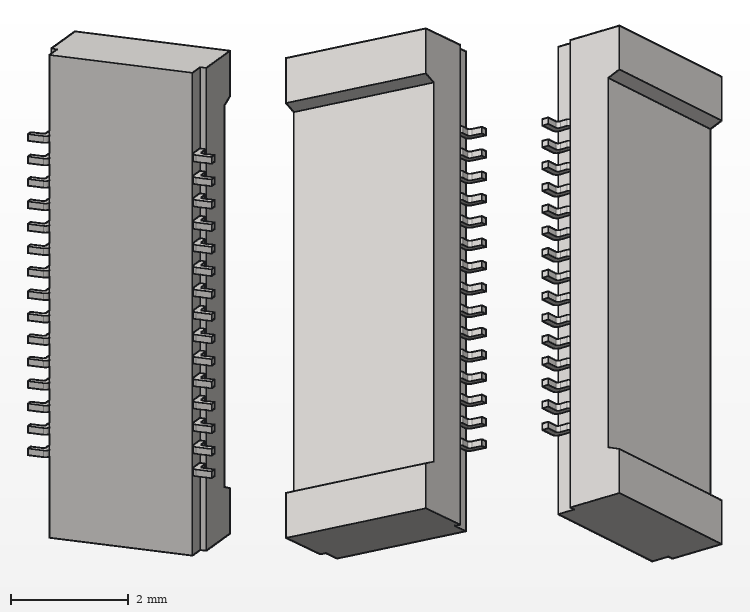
import cadquery as cq

housing_length = 8.6
housing_width = 2.855
overall_depth = 1.45
standoff = 0.05
notch_width = 0.11
notch_depth = 0.34

end_block_height = 0.24
end_block_length = 0.81
end_block_root = 0.9

terminals_per_row = 15
row_length = 5.6
terminal_pitch = row_length / (terminals_per_row - 1)
terminal_width = 0.12
row_span = 3.38
foot_thickness = 0.13
leg_thickness = notch_width
leg_gap = 0.02
bend_radius = 0.05
heel_radius = 0.09

half_width = housing_width / 2
half_length = housing_length / 2
half_span = row_span / 2
foot_bottom = -overall_depth / 2
back = overall_depth / 2
floor = foot_bottom + standoff
shoulder = floor + notch_depth
notch_wall = half_width - notch_width


def make_housing():
    """Block with a recess between two end blocks and a step along each lower edge."""
    recess_face = back - end_block_height
    recess_mouth = half_length - end_block_length
    recess_root = half_length - end_block_root
    side_outline = [
        (floor, -half_length),
        (back, -half_length),
        (back, -recess_mouth),
        (recess_face, -recess_root),
        (recess_face, recess_root),
        (back, recess_mouth),
        (back, half_length),
        (floor, half_length),
    ]
    housing = (
        cq.Workplane("YZ")
        .polyline(side_outline)
        .close()
        .extrude(half_width, both=True)
    )
    for side in (-1, 1):
        notch = (
            cq.Workplane("XY")
            .box(notch_width, notch_depth, housing_length)
            .translate((side * (half_width - notch_width / 2), floor + notch_depth / 2, 0))
        )
        housing = housing.cut(notch)
    return housing


def make_terminal():
    """L-shaped terminal on the +X side: a leg against the notch wall and a foot pointing out."""
    leg_top = shoulder - leg_gap
    foot_top = foot_bottom + foot_thickness
    leg_face = notch_wall + leg_thickness
    return (
        cq.Workplane("XY")
        .moveTo(half_span, foot_bottom)
        .lineTo(half_span, foot_top)
        .lineTo(leg_face + bend_radius, foot_top)
        .tangentArcPoint((leg_face, foot_top + bend_radius), relative=False)
        .lineTo(leg_face, leg_top - bend_radius)
        .tangentArcPoint((leg_face - bend_radius, leg_top), relative=False)
        .lineTo(notch_wall, leg_top)
        .lineTo(notch_wall, foot_bottom + heel_radius)
        .tangentArcPoint((notch_wall + heel_radius, foot_bottom), relative=False)
        .close()
        .extrude(terminal_width / 2, both=True)
    )


result = make_housing()
terminal_right = make_terminal()
terminal_left = terminal_right.mirror("YZ")
for index in range(terminals_per_row):
    height = index * terminal_pitch - row_length / 2
    for terminal in (terminal_left, terminal_right):
        result = result.union(terminal.translate((0, 0, height)))